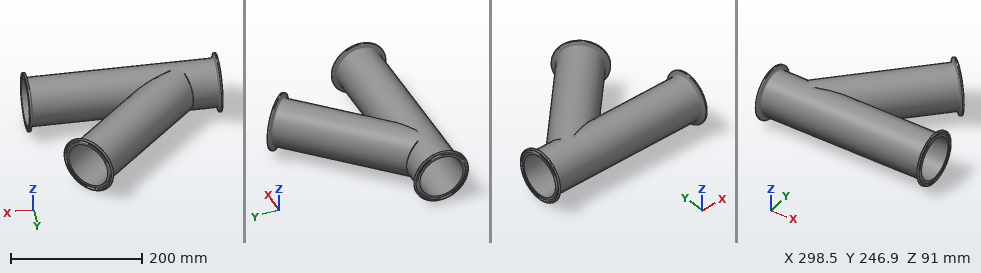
import cadquery as cq
import math

tube_diameter = 76.0
bore_diameter = 72.8

run_length = 298.5
junction_to_left_end = 60.3
branch_length = 239.5
branch_angle = 45.0

flange_diameter = 91.0
flange_edge_thickness = 2.85
flange_back_angle = 20.0
flange_edge_round = 0.3
flange_root_round = 1.5
ferrule_length = 12.8

groove_pitch_diameter = 83.3
groove_width = 2.7
groove_depth = 1.35
groove_lip_round = 0.5

tube_radius = tube_diameter / 2
bore_radius = bore_diameter / 2
flange_radius = flange_diameter / 2
back_rise = (flange_radius - tube_radius) * math.tan(math.radians(flange_back_angle))
flange_root_depth = flange_edge_thickness + back_rise


def cylinder(radius, length):
    """Cylinder standing on the XY plane, with its axis on +Z."""
    return cq.Workplane("XY").circle(radius).extrude(length)


def ferrule():
    """Solid flange with a conical back, its face on Z = 0 and the tube leaving along +Z."""
    body = (
        cq.Workplane("XZ")
        .lineTo(flange_radius, 0)
        .lineTo(flange_radius, flange_edge_thickness)
        .lineTo(tube_radius, flange_root_depth)
        .lineTo(tube_radius, ferrule_length)
        .lineTo(0, ferrule_length)
        .close()
        .revolve(360, (0, 0, 0), (0, 1, 0))
    )
    root = cq.selectors.NearestToPointSelector((0, 0, flange_root_depth))
    rim = cq.selectors.RadiusNthSelector(-1)
    body = body.edges("%CIRCLE").edges(root).fillet(flange_root_round)
    body = body.edges("%CIRCLE").edges(rim).fillet(flange_edge_round)
    body = body.cut(gasket_groove())
    face_edges = body.faces("<Z").edges()
    groove_lips = cq.selectors.RadiusNthSelector(1) + cq.selectors.RadiusNthSelector(0)
    return face_edges.edges(groove_lips).fillet(groove_lip_round)


def gasket_groove():
    """Ring with an arc section, sunk into the flange face at Z = 0."""
    pitch_radius = groove_pitch_diameter / 2
    return (
        cq.Workplane("XZ")
        .moveTo(pitch_radius - groove_width / 2, 0)
        .threePointArc((pitch_radius, groove_depth), (pitch_radius + groove_width / 2, 0))
        .close()
        .revolve(360, (0, 0, 0), (0, 1, 0))
    )


def end_plane(distance, angle):
    """Plane at a tube end, facing back along the tube towards the junction."""
    outward = cq.Vector(math.cos(math.radians(angle)), math.sin(math.radians(angle)), 0)
    return cq.Plane(origin=outward * distance, xDir=(0, 0, 1), normal=outward * -1)


def place(shape, distance, angle):
    """Move a shape built on the XY plane to a tube end."""
    return cq.Workplane(shape.val().moved(cq.Location(end_plane(distance, angle))))


left_end = (junction_to_left_end, 180.0)
right_end = (run_length - junction_to_left_end, 0.0)
branch_end = (branch_length, branch_angle)

plain_run_length = run_length - 2 * ferrule_length
plain_run_end = right_end[0] - ferrule_length
plain_branch_length = branch_length - ferrule_length
run = place(cylinder(tube_radius, plain_run_length), plain_run_end, right_end[1])
branch = place(cylinder(tube_radius, plain_branch_length), plain_branch_length, branch_angle)
fitting = run.union(branch)
for end in (left_end, right_end, branch_end):
    fitting = fitting.union(place(ferrule(), *end))

run_bore = place(cylinder(bore_radius, run_length), *right_end)
branch_bore = place(cylinder(bore_radius, branch_length), *branch_end)

result = fitting.cut(run_bore).cut(branch_bore)